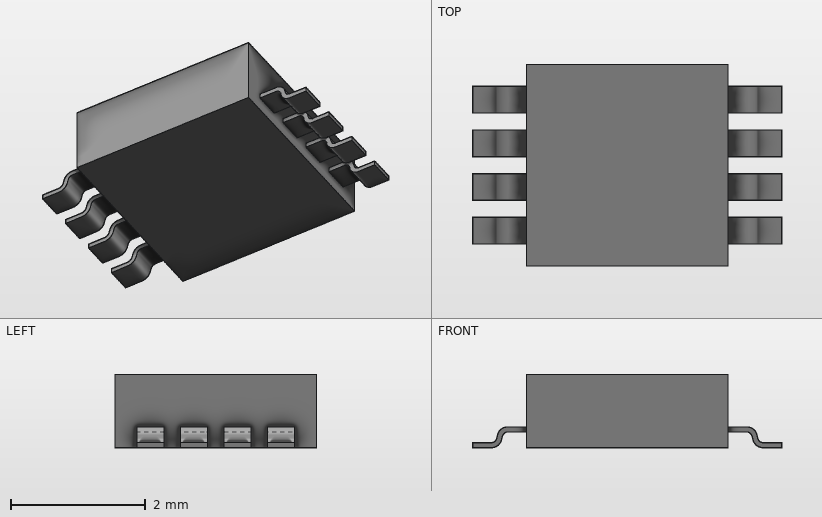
import cadquery as cq
import math

body_side = 3.0
body_height = 1.09

overall_span = 4.6
lead_width = 0.4
lead_pitch = 0.65
leads_per_side = 4
lead_thickness = 0.08
lead_top_z = 0.315
foot_length = 0.28
bend_angle = 75.0
inner_radius = 0.08
outer_radius = inner_radius + lead_thickness

bend_sin = math.sin(math.radians(bend_angle))
bend_cos = math.cos(math.radians(bend_angle))
half_sin = math.sin(math.radians(bend_angle / 2))
half_cos = math.cos(math.radians(bend_angle / 2))
lead_rise = lead_top_z - lead_thickness
leg_rise = lead_rise - (inner_radius + outer_radius) * (1 - bend_cos)
leg_run = leg_rise * bend_cos / bend_sin

tip_x = -overall_span / 2
body_face_x = -body_side / 2
lower_center_x = tip_x + foot_length
lower_center_z = outer_radius
upper_center_x = lower_center_x + (inner_radius + outer_radius) * bend_sin + leg_run
upper_center_z = lead_top_z - outer_radius


def make_body():
    return cq.Workplane("XY").box(body_side, body_side, body_height, centered=(True, True, False))


def lower_bend_point(radius, sine, cosine):
    """Point on the bend at the foot, turned up from the bottom of the bend."""
    return (lower_center_x + radius * sine, lower_center_z - radius * cosine)


def upper_bend_point(radius, sine, cosine):
    """Point on the bend at the shoulder, turned down from the top of the bend."""
    return (upper_center_x - radius * sine, upper_center_z + radius * cosine)


def make_lead():
    """One lead of the -X side, centred on Y = 0, from its tip to the body face."""
    return (
        cq.Workplane("XZ")
        .moveTo(tip_x, 0)
        .lineTo(lower_center_x, 0)
        .threePointArc(
            lower_bend_point(outer_radius, half_sin, half_cos),
            lower_bend_point(outer_radius, bend_sin, bend_cos),
        )
        .lineTo(*upper_bend_point(inner_radius, bend_sin, bend_cos))
        .threePointArc(
            upper_bend_point(inner_radius, half_sin, half_cos),
            (upper_center_x, lead_rise),
        )
        .lineTo(body_face_x, lead_rise)
        .lineTo(body_face_x, lead_top_z)
        .lineTo(upper_center_x, lead_top_z)
        .threePointArc(
            upper_bend_point(outer_radius, half_sin, half_cos),
            upper_bend_point(outer_radius, bend_sin, bend_cos),
        )
        .lineTo(*lower_bend_point(inner_radius, bend_sin, bend_cos))
        .threePointArc(
            lower_bend_point(inner_radius, half_sin, half_cos),
            (lower_center_x, lead_thickness),
        )
        .lineTo(tip_x, lead_thickness)
        .close()
        .extrude(lead_width / 2, both=True)
    )


body = make_body()

leads = []
for i in range(leads_per_side):
    lead_y = (i - (leads_per_side - 1) / 2) * lead_pitch
    left_lead = make_lead().translate((0, lead_y, 0))
    right_lead = left_lead.mirror("YZ")
    leads.append(left_lead.val())
    leads.append(right_lead.val())

result = cq.Compound.makeCompound([body.val(), *leads])